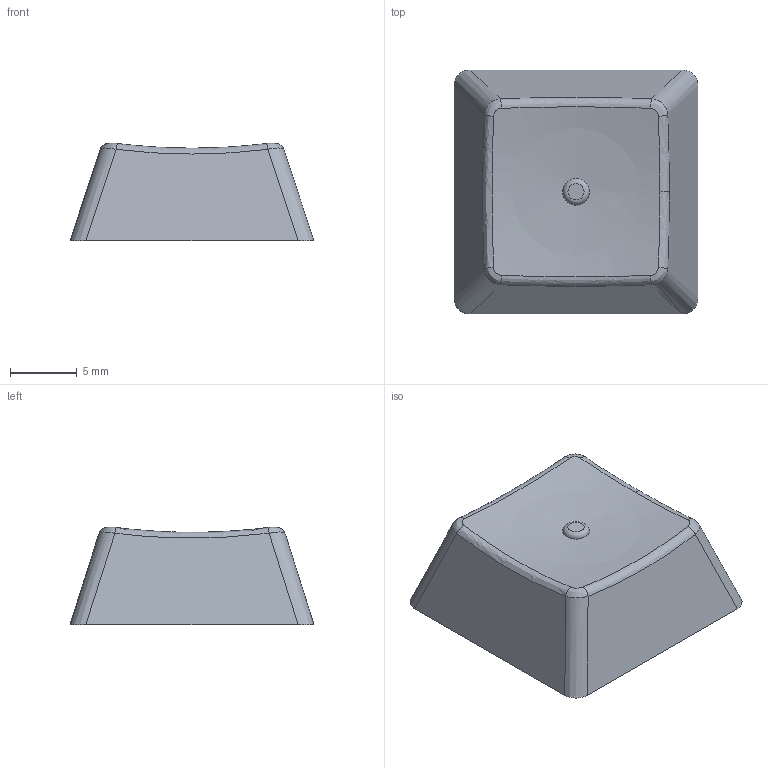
import cadquery as cq

base_size = 18.3
wall_height = 9.0
wall_run_x = 2.97
wall_run_y = 2.85
corner_radius = 1.25

dish_radius = 44.0
dish_floor_z = 6.5
rim_radius = 0.65

bump_diameter = 2.0
bump_height = 0.4
bump_edge_radius = 0.395


def make_body():
    """Tapered block with its four slanted corner edges rounded."""
    top_x = base_size - 2 * wall_run_x
    top_y = base_size - 2 * wall_run_y
    frustum = (
        cq.Workplane("XY")
        .rect(base_size, base_size)
        .workplane(offset=wall_height)
        .rect(top_x, top_y)
        .loft(ruled=True)
    )
    slanted_edges = "not(#Z or |X or |Y)"
    return frustum.edges(slanted_edges).fillet(corner_radius)


def cut_dish(body):
    """Scoop the top with a sphere and round the rim it leaves."""
    sphere_center_z = dish_floor_z + dish_radius
    sphere = cq.Workplane("XY").sphere(dish_radius).translate((0, 0, sphere_center_z))
    dished = body.cut(sphere)
    return dished.faces("%SPHERE").edges().fillet(rim_radius)


def make_bump():
    """Post rising from the base plane to just above the dish floor."""
    post = cq.Workplane("XY").circle(bump_diameter / 2).extrude(dish_floor_z + bump_height)
    return post.faces(">Z").edges().fillet(bump_edge_radius)


result = cut_dish(make_body()).union(make_bump())